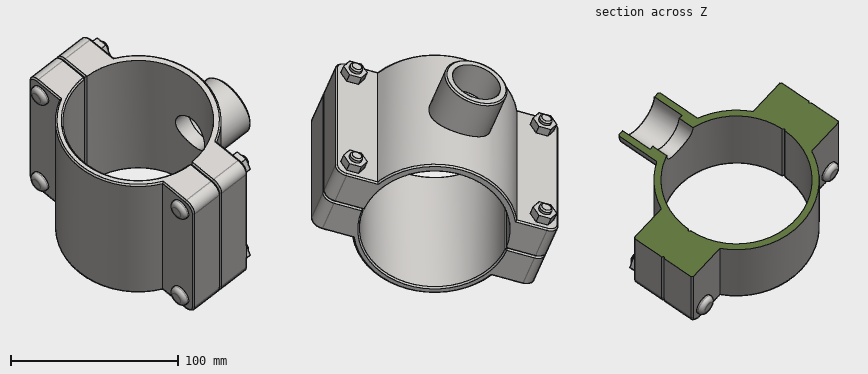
import cadquery as cq
import math

length = 105.0
width = 141.0
bore_radius = 45.0
wall = 4.5
sleeve_radius = bore_radius + wall
flange_thickness = 22.5
flange_corner_radius = 7.0
edge_chamfer = 1.0

outlet_start = 45.2
outlet_end = 75.0
outlet_diameter = 39.38
wide_bore_diameter = 30.29
passage_diameter = 25.0
wide_bore_start = 54.0

bolt_x = 60.0
bolt_z = 42.0
shank_diameter = 8.0
shank_end = 30.5
shank_end_chamfer = 1.0
head_diameter = 13.0
head_height = 4.0
head_fillet = 3.0
nut_across_flats = 13.0
nut_across_corners = nut_across_flats / math.cos(math.radians(30))
nut_height = 5.3


def along_y(start, x=0.0, z=0.0):
    """Workplane facing +Y at y = start, with its horizontal axis along X."""
    return cq.Workplane(cq.Plane(origin=(x, start, z), xDir=(1, 0, 0), normal=(0, 1, 0)))


def cylinder_along_y(diameter, start, end, x=0.0, z=0.0):
    """Cylinder parallel to Y, from y = start to y = end."""
    return along_y(start, x, z).circle(diameter / 2).extrude(end - start)


def make_bored_half():
    """Half clamp on the +Y side, bored, with its outer edges chamfered."""
    flange = (
        cq.Workplane("XY")
        .box(width, flange_thickness, length, centered=(True, False, True))
        .edges("|Y")
        .fillet(flange_corner_radius)
    )
    half_space = cq.Workplane("XY").box(width, width, length, centered=(True, False, True))
    sleeve = cq.Workplane("XY").cylinder(length, sleeve_radius).intersect(half_space)
    half = flange.union(sleeve)
    half = half.edges("(not (|Y or |Z)) or (|Z and (>X or <X))").chamfer(edge_chamfer)
    return half.cut(cq.Workplane("XY").cylinder(length, bore_radius))


def bore_face(half):
    """The half-cylinder bore wall, whose centre is the nearest of all faces to the origin."""
    return half.faces(cq.selectors.NearestToPointSelector((0, 0, 0)))


def make_outlet_half():
    """The +Y half: its bore is chamfered along the split only."""
    return bore_face(make_bored_half()).edges("|Z").chamfer(edge_chamfer)


def make_plain_half():
    """The -Y half: its bore is chamfered along the split and at both end rims."""
    return bore_face(make_bored_half()).edges().chamfer(edge_chamfer).mirror("XZ")


def add_outlet(body):
    """Add the spigot and drill it through into the sleeve."""
    spigot = cylinder_along_y(outlet_diameter, outlet_start, outlet_end)
    spigot = spigot.faces(">Y").chamfer(edge_chamfer)
    passage = cylinder_along_y(passage_diameter, 0, outlet_end)
    wide_bore = cylinder_along_y(wide_bore_diameter, wide_bore_start, outlet_end)
    return body.union(spigot).cut(passage).cut(wide_bore)


def make_bolt(x, z):
    """Round-headed bolt with its hexagon nut."""
    head_top = -flange_thickness - head_height
    head = cylinder_along_y(head_diameter, head_top, -flange_thickness, x, z)
    head = head.faces("<Y").edges().fillet(head_fillet)
    shank = cylinder_along_y(shank_diameter, -flange_thickness, shank_end, x, z)
    shank = shank.faces(">Y").chamfer(shank_end_chamfer)
    nut = along_y(flange_thickness, x, z).polygon(6, nut_across_corners).extrude(nut_height)
    return head.union(shank).union(nut)


body = add_outlet(make_plain_half().union(make_outlet_half()))
for x in (-bolt_x, bolt_x):
    for z in (-bolt_z, bolt_z):
        body = body.union(make_bolt(x, z))
result = body